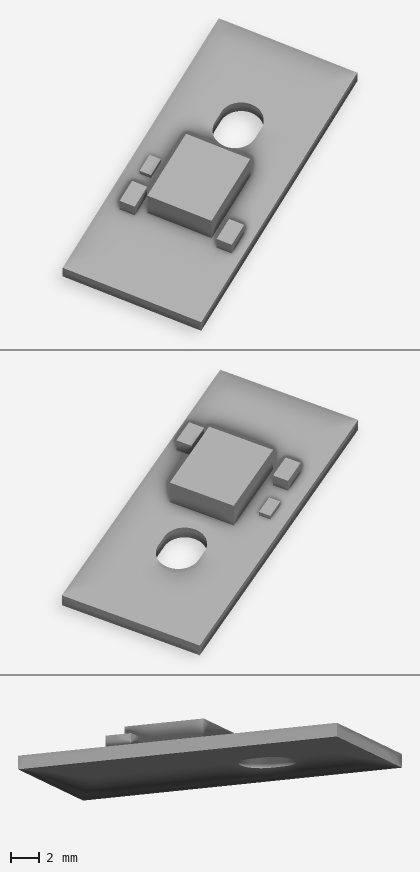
import cadquery as cq

board_width = 11.0
board_length = 25.0
board_thickness = 1.0

slot_width = 3.2
slot_length = 4.2
slot_center_y = 4.5

chip_width = 5.1
chip_length = 6.2
chip_height = 2.0
chip_center = (0.25, -2.3)

block_width = 1.2
block_length = 2.0
block_height = 1.0
block_center_y = -5.0
block_centers_x = (-3.6, 4.1)

flat_width = 0.9
flat_length = 1.6
flat_height = 0.35
flat_center = (-3.9, -1.7)


def make_board():
    """Flat rectangular board with a round-ended slot through it."""
    plate = cq.Workplane("XY").box(
        board_width, board_length, board_thickness, centered=(True, True, False)
    )
    slot = (
        cq.Workplane("XY")
        .center(0, slot_center_y)
        .slot2D(slot_length, slot_width, angle=90)
        .extrude(board_thickness)
    )
    return plate.cut(slot)


def make_component(width, length, height, center):
    """Rectangular component standing on the top face of the board."""
    return (
        cq.Workplane("XY", origin=(*center, board_thickness))
        .box(width, length, height, centered=(True, True, False))
    )


def make_chip():
    return make_component(chip_width, chip_length, chip_height, chip_center)


def make_block(center_x):
    return make_component(block_width, block_length, block_height, (center_x, block_center_y))


def make_flat_component():
    return make_component(flat_width, flat_length, flat_height, flat_center)


board = make_board()
chip = make_chip()
blocks = [make_block(center_x) for center_x in block_centers_x]
flat_component = make_flat_component()

result = cq.Compound.makeCompound(
    [
        board.val(),
        chip.val(),
        *[block.val() for block in blocks],
        flat_component.val(),
    ]
)